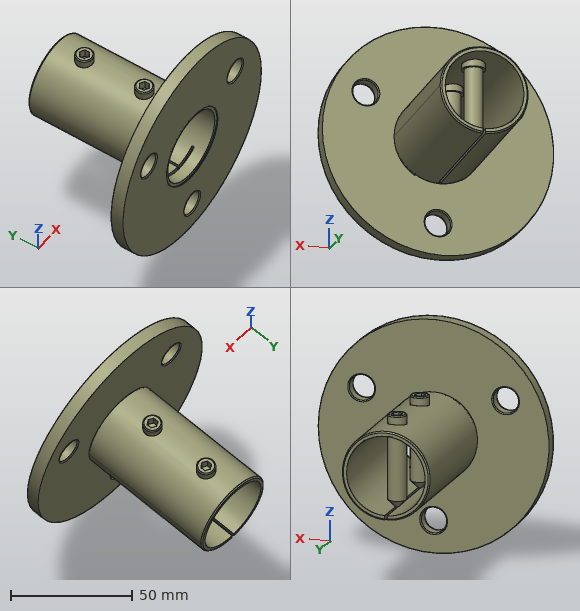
import cadquery as cq
import math

FLANGE_DIAMETER = 100.0
FLANGE_THICKNESS = 6.0
BOLT_CIRCLE_RADIUS = 36.0
BOLT_HOLE_DIAMETER = 11.0
BOLT_HOLE_CHAMFER = 0.5
BOLT_HOLE_ANGLES = (30.0, 150.0, 270.0)

OVERALL_LENGTH = 69.0
TUBE_DIAMETER = 38.0
TUBE_WALL = 2.0
TUBE_RADIUS = TUBE_DIAMETER / 2
BORE_RADIUS = TUBE_RADIUS - TUBE_WALL
TUBE_END_CHAMFER = 0.6
SPIGOT_DIAMETER = 37.0
SPIGOT_RECESS = 0.5

SLIT_WIDTH = 1.0
CROSS_SLIT_LENGTH = 20.0

SCREW_DIAMETER = 8.0
SCREW_END_OFFSET = 15.0
SCREW_SPACING = 30.0
SCREW_TOP_Z = 22.7
SCREW_TIP_RADIUS = 0.8
SCREW_TIP_Z = -math.sqrt(BORE_RADIUS**2 - SCREW_TIP_RADIUS**2)
SCREW_CHAMFER = 0.5
SOCKET_ACROSS_FLATS = 4.0
SOCKET_DEPTH = 4.0
COLLAR_DIAMETER = 10.0
COLLAR_BOTTOM_Z = 14.0

REAR_SCREW_Y = OVERALL_LENGTH - SCREW_END_OFFSET
SCREW_POSITIONS = (REAR_SCREW_Y - SCREW_SPACING, REAR_SCREW_Y)


def cylinder_along_y(radius, y_start, y_end):
    return cq.Workplane("XZ", origin=(0, y_start, 0)).circle(radius).extrude(y_start - y_end)


def cylinder_along_z(radius, y, z_start, z_end):
    return cq.Workplane("XY", origin=(0, y, z_start)).circle(radius).extrude(z_end - z_start)


def make_flange():
    flange = cylinder_along_y(FLANGE_DIAMETER / 2, 0, FLANGE_THICKNESS)
    flange = flange.cut(cylinder_along_y(SPIGOT_DIAMETER / 2, 0, FLANGE_THICKNESS))
    for angle in BOLT_HOLE_ANGLES:
        flange = flange.cut(make_bolt_hole(math.radians(angle)))
    return flange


def make_bolt_hole(angle):
    """Through hole chamfered on both faces of the flange."""
    radius = BOLT_HOLE_DIAMETER / 2
    profile = [
        (0, 0),
        (radius + BOLT_HOLE_CHAMFER, 0),
        (radius, BOLT_HOLE_CHAMFER),
        (radius, FLANGE_THICKNESS - BOLT_HOLE_CHAMFER),
        (radius + BOLT_HOLE_CHAMFER, FLANGE_THICKNESS),
        (0, FLANGE_THICKNESS),
    ]
    hole = cq.Workplane("XY").polyline(profile).close().revolve(360, (0, 0), (0, 1))
    return hole.translate((BOLT_CIRCLE_RADIUS * math.cos(angle), 0, BOLT_CIRCLE_RADIUS * math.sin(angle)))


def make_tube():
    sleeve = cylinder_along_y(TUBE_RADIUS, FLANGE_THICKNESS, OVERALL_LENGTH)
    sleeve = sleeve.faces(">Y").chamfer(TUBE_END_CHAMFER)
    spigot = cylinder_along_y(SPIGOT_DIAMETER / 2, SPIGOT_RECESS, FLANGE_THICKNESS)
    bore = cylinder_along_y(BORE_RADIUS, SPIGOT_RECESS, OVERALL_LENGTH)
    tube = sleeve.union(spigot).cut(bore)
    for y in SCREW_POSITIONS:
        tube = tube.union(make_collar(y))
        tube = tube.cut(cylinder_along_z(SCREW_DIAMETER / 2, y, 0, SCREW_TOP_Z))
    return tube.cut(make_cross_slit()).cut(make_long_slit())


def make_collar(y):
    """Round collar below the tube wall, trimmed so that its top ends inside the wall."""
    collar = cylinder_along_z(COLLAR_DIAMETER / 2, y, COLLAR_BOTTOM_Z, TUBE_RADIUS)
    wall_middle_radius = (TUBE_RADIUS + BORE_RADIUS) / 2
    return collar.intersect(cylinder_along_y(wall_middle_radius, FLANGE_THICKNESS, OVERALL_LENGTH))


def make_cross_slit():
    """Cut across the bottom of the tube next to the flange, with upright ends."""
    return (
        cq.Workplane("XY")
        .box(CROSS_SLIT_LENGTH, SLIT_WIDTH, TUBE_RADIUS, centered=(True, False, False))
        .translate((0, FLANGE_THICKNESS, -TUBE_RADIUS))
    )


def make_long_slit():
    """Cut along the bottom of the tube, from the cross slit to the open end."""
    length = OVERALL_LENGTH - FLANGE_THICKNESS
    return (
        cq.Workplane("XY")
        .box(SLIT_WIDTH, length, TUBE_RADIUS, centered=(True, False, False))
        .translate((0, FLANGE_THICKNESS, -TUBE_RADIUS))
    )


def make_screw(y):
    """Upright set screw with a conical tip and a hexagon socket in its top."""
    radius = SCREW_DIAMETER / 2
    cone_height = radius - SCREW_TIP_RADIUS
    profile = [
        (0, SCREW_TIP_Z),
        (SCREW_TIP_RADIUS, SCREW_TIP_Z),
        (radius, SCREW_TIP_Z + cone_height),
        (radius, SCREW_TOP_Z - SCREW_CHAMFER),
        (radius - SCREW_CHAMFER, SCREW_TOP_Z),
        (0, SCREW_TOP_Z),
    ]
    shank = cq.Workplane("XZ").polyline(profile).close().revolve(360, (0, 0), (0, 1))
    across_corners = SOCKET_ACROSS_FLATS / math.cos(math.pi / 6)
    socket = (
        cq.Workplane("XY", origin=(0, 0, SCREW_TOP_Z))
        .polygon(6, across_corners)
        .extrude(-SOCKET_DEPTH)
        .rotate((0, 0, 0), (0, 0, 1), 90)
    )
    return shank.cut(socket).translate((0, y, 0))


flange = make_flange()
tube = make_tube()
screws = [make_screw(y) for y in SCREW_POSITIONS]

result = cq.Compound.makeCompound([flange.val(), tube.val(), *[screw.val() for screw in screws]])